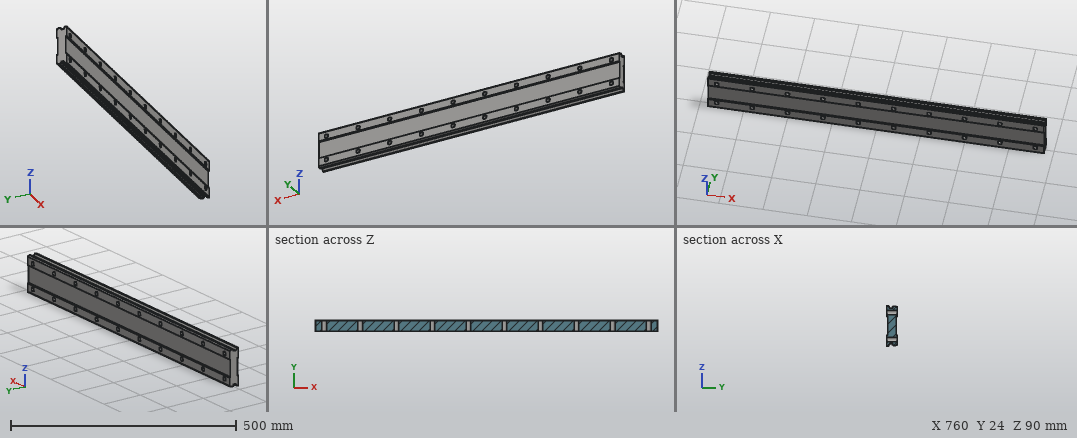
import cadquery as cq

LENGTH = 760.0
THICKNESS = 24.0
HEIGHT = 90.0

RECESS_FLOOR_HEIGHT = 40.0
RECESS_DEPTH = 2.0
RECESS_SLOPE = 1.5

LIP_BASE_THICKNESS = 7.5
LIP_TIP_THICKNESS = 4.0
LIP_CHAMFER = 1.0
GROOVE_DEPTH = 5.0
GROOVE_FLOOR_WIDTH = 5.0
CREST_DROP = 1.0
CREST_WIDTH = 2.0
CREST_SETBACK = 5.0
BEVEL_DROP = 2.0

HOLE_DIAMETER = 9.0
HOLES_PER_ROW = 10
HOLE_END_MARGIN = 20.0
HOLE_PITCH = (LENGTH - 2 * HOLE_END_MARGIN) / (HOLES_PER_ROW - 1)
HOLE_ROW_SPACING = 60.0

front = -THICKNESS / 2
back = THICKNESS / 2
top = HEIGHT / 2


def upper_outline():
    """Points (y, z) of the upper half of the section, from front to back."""
    recess_floor_edge = RECESS_FLOOR_HEIGHT / 2
    recess_rim = recess_floor_edge + RECESS_SLOPE
    groove_floor = top - GROOVE_DEPTH
    lip_foot = front + LIP_BASE_THICKNESS
    crest = top - CREST_DROP
    crest_back = back - CREST_SETBACK
    groove_back = lip_foot + GROOVE_FLOOR_WIDTH
    bevel_foot = crest - BEVEL_DROP
    return [
        (front + RECESS_DEPTH, recess_floor_edge),
        (front, recess_rim),
        (front, top - LIP_CHAMFER),
        (front + LIP_CHAMFER, top),
        (front + LIP_TIP_THICKNESS, top),
        (lip_foot, groove_floor),
        (groove_back, groove_floor),
        (groove_back, bevel_foot),
        (crest_back - CREST_WIDTH, crest),
        (crest_back, crest),
        (back, bevel_foot),
        (back, recess_rim),
        (back - RECESS_DEPTH, recess_floor_edge),
    ]


def rail_body():
    """Section mirrored about mid-height and extruded along X."""
    upper = upper_outline()
    lower = [(y, -z) for y, z in reversed(upper)]
    section = cq.Workplane("YZ").polyline(upper + lower).close()
    return section.extrude(LENGTH / 2, both=True)


def mounting_holes():
    """Cutters for the holes through the thickness."""
    return (
        cq.Workplane("XZ")
        .rarray(HOLE_PITCH, HOLE_ROW_SPACING, HOLES_PER_ROW, 2)
        .circle(HOLE_DIAMETER / 2)
        .extrude(THICKNESS, both=True)
    )


result = rail_body().cut(mounting_holes())